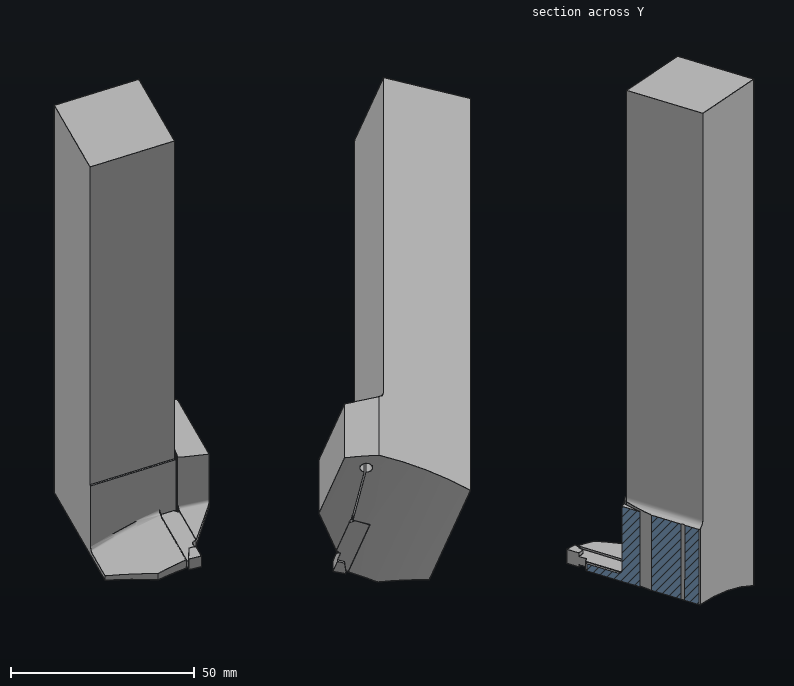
import cadquery as cq
import math

SHANK_WIDTH = 25.0
TOTAL_HEIGHT = 154.5

HEAD_WIDTH = 25.5
HEAD_DEPTH = 35.1
HEAD_FACE_TOP = 27.8
HEAD_SLOPE = 15
HEAD_ROOT_Z = 28.6
HEAD_ROOT_RADIUS = 2.5
HEAD_BEVEL_X = 3.4
HEAD_BEVEL_Y = 26.3

UNDERSIDE_RADIUS = 69.5
UNDERSIDE_CREST_Y = 26.3

BLADE_REACH = 44.2
BLADE_FRONT_X = 35.5
BLADE_BEVEL_Y = 12.0
BLADE_FRONT_THICKNESS = 1.9
BLADE_TOP = 8.3
BLADE_BULGE = 0.6
ARM_SLOPE = 8
BLADE_ROOT_RADIUS = 1.4

SEAT_Y = 20.4
ARM_Y = 26.0
ARM_TIP_X = 37.9
INSERT_END_CHAMFER = 1.2
INSERT_TOP = 7.7
RAKE_Y = 24.5
RAKE_START_X = 38.5
TIP_X = 45.0
TIP_START_X = 41.0
TIP_BOTTOM = 4.5
TIP_TOP = 8.8
TIP_HEEL_X = 44.7
TIP_HEEL_Y = 21.0
TIP_INNER_Y = 22.5

HOLE_X = 5.5
HOLE_Y = 28.1
HOLE_RADIUS = 1.7
SLIT_WIDTH = 0.5
SLIT_END_Y = 25.5

underside_center_z = -math.sqrt(UNDERSIDE_RADIUS**2 - UNDERSIDE_CREST_Y**2)
underside_crest_z = underside_center_z + UNDERSIDE_RADIUS


def make_shank():
    return cq.Workplane("XY").box(SHANK_WIDTH, SHANK_WIDTH, TOTAL_HEIGHT, centered=False)


def make_head():
    strip = cq.Workplane("XY").box(HEAD_WIDTH, SHANK_WIDTH, HEAD_FACE_TOP, centered=False)
    plan_height = HEAD_ROOT_Z + 2 * HEAD_ROOT_RADIUS
    back_top = HEAD_ROOT_Z - (HEAD_DEPTH - SHANK_WIDTH) * math.tan(math.radians(HEAD_SLOPE))
    half_angle = math.radians(90 + HEAD_SLOPE) / 2
    setback = HEAD_ROOT_RADIUS / math.tan(half_angle)
    center_y = SHANK_WIDTH + HEAD_ROOT_RADIUS
    center_z = HEAD_ROOT_Z + setback
    mid_angle = math.radians(180 + (90 - HEAD_SLOPE) / 2)
    fillet_mid = (
        center_y + HEAD_ROOT_RADIUS * math.cos(mid_angle),
        center_z + HEAD_ROOT_RADIUS * math.sin(mid_angle),
    )
    fillet_end = (
        SHANK_WIDTH + setback * math.cos(math.radians(HEAD_SLOPE)),
        HEAD_ROOT_Z - setback * math.sin(math.radians(HEAD_SLOPE)),
    )
    back = (
        cq.Workplane("YZ")
        .moveTo(SHANK_WIDTH, 0)
        .lineTo(SHANK_WIDTH, center_z)
        .threePointArc(fillet_mid, fillet_end)
        .lineTo(HEAD_DEPTH, back_top)
        .lineTo(HEAD_DEPTH, 0)
        .close()
        .extrude(HEAD_WIDTH)
    )
    plan = (
        cq.Workplane("XY")
        .polyline([
            (0, 0),
            (HEAD_WIDTH, 0),
            (HEAD_WIDTH, HEAD_DEPTH),
            (HEAD_BEVEL_X, HEAD_DEPTH),
            (0, HEAD_BEVEL_Y),
        ])
        .close()
        .extrude(plan_height)
    )
    return strip.union(back.intersect(plan))


def make_blade():
    arm_back_z = BLADE_TOP - (HEAD_DEPTH - SEAT_Y) * math.tan(math.radians(ARM_SLOPE))
    arc_mid = (SEAT_Y / 2, (BLADE_FRONT_THICKNESS + BLADE_TOP) / 2 + BLADE_BULGE)
    section = (
        cq.Workplane("YZ")
        .moveTo(0, 0)
        .lineTo(0, BLADE_FRONT_THICKNESS)
        .threePointArc(arc_mid, (SEAT_Y, BLADE_TOP))
        .lineTo(HEAD_DEPTH, arm_back_z)
        .lineTo(HEAD_DEPTH, 0)
        .close()
        .extrude(BLADE_REACH)
    )
    plan = (
        cq.Workplane("XY")
        .polyline([
            (HEAD_BEVEL_X, 0),
            (BLADE_FRONT_X, 0),
            (BLADE_REACH, BLADE_BEVEL_Y),
            (BLADE_REACH, SEAT_Y),
            (ARM_TIP_X, ARM_Y),
            (HEAD_WIDTH, HEAD_DEPTH),
            (HEAD_BEVEL_X, HEAD_DEPTH),
        ])
        .close()
        .extrude(BLADE_TOP)
    )
    return section.intersect(plan)


def fillet_blade_root(body):
    margin = 0.2
    root_edges = cq.selectors.BoxSelector(
        (HEAD_WIDTH - margin, -margin, BLADE_FRONT_THICKNESS - margin),
        (HEAD_WIDTH + margin, HEAD_DEPTH + margin, BLADE_TOP + margin),
        boundingbox=True,
    )
    return body.edges(root_edges).fillet(BLADE_ROOT_RADIUS)


def make_underside_cutter():
    return (
        cq.Workplane("YZ")
        .center(UNDERSIDE_CREST_Y, underside_center_z)
        .circle(UNDERSIDE_RADIUS)
        .extrude(TIP_X)
    )


def make_seat_cutter():
    return (
        cq.Workplane("XY")
        .box(TIP_X - HEAD_WIDTH, ARM_Y - SEAT_Y, HEAD_FACE_TOP, centered=False)
        .translate((HEAD_WIDTH, SEAT_Y, 0))
    )


def make_slit_cutter():
    run = HEAD_WIDTH - HOLE_X
    drop = HOLE_Y - SLIT_END_Y
    cut_height = HEAD_ROOT_Z + HEAD_ROOT_RADIUS
    slit = (
        cq.Workplane("XY")
        .rect(math.hypot(run, drop), SLIT_WIDTH)
        .extrude(cut_height)
        .rotate((0, 0, 0), (0, 0, 1), -math.degrees(math.atan2(drop, run)))
        .translate((HOLE_X + run / 2, HOLE_Y - drop / 2, 0))
    )
    hole = cq.Workplane("XY").center(HOLE_X, HOLE_Y).circle(HOLE_RADIUS).extrude(cut_height)
    return slit.union(hole)


def make_holder():
    body = make_shank().union(make_head()).union(make_blade())
    body = fillet_blade_root(body)
    for cutter in (make_underside_cutter(), make_seat_cutter(), make_slit_cutter()):
        body = body.cut(cutter)
    return body


def make_insert():
    shaft = (
        cq.Workplane("XY", origin=(0, 0, underside_crest_z))
        .polyline([
            (HEAD_WIDTH, SEAT_Y),
            (BLADE_REACH, SEAT_Y),
            (BLADE_REACH, RAKE_Y),
            (RAKE_START_X, RAKE_Y),
            (ARM_TIP_X, ARM_Y),
            (HEAD_WIDTH + INSERT_END_CHAMFER, ARM_Y),
            (HEAD_WIDTH, ARM_Y - INSERT_END_CHAMFER),
        ])
        .close()
        .extrude(INSERT_TOP - underside_crest_z)
    )
    tip = (
        cq.Workplane("XY", origin=(0, 0, TIP_BOTTOM))
        .polyline([
            (TIP_START_X, RAKE_Y),
            (TIP_X, RAKE_Y),
            (TIP_HEEL_X, TIP_HEEL_Y),
            (BLADE_REACH, TIP_HEEL_Y),
            (TIP_START_X, TIP_INNER_Y),
        ])
        .close()
        .extrude(TIP_TOP - TIP_BOTTOM)
    )
    return shaft.union(tip)


holder = make_holder()
insert = make_insert()
result = cq.Compound.makeCompound([holder.solids().val(), insert.solids().val()])